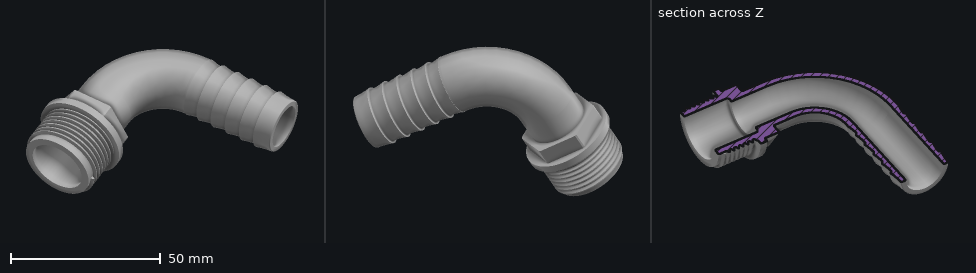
import cadquery as cq
import math


tube_radius = 10.0
bore_radius = 7.4
bend_radius = 22.3

spigot_radius = 12.2
spigot_length = 14.7
flange_radius = 15.25
flange_thickness = 2.6
hex_across_flats = 24.0
hex_height = 5.8
hex_corner_radius = 13.7
inlet_bore_radius = 9.55
inlet_floor_fillet = 0.9

thread_crest_radius = 13.25
thread_pitch = 1.82
thread_turns = 7
thread_start = 1.85
thread_base_width = 1.4
thread_crest_width = 0.35
thread_embed = 0.15

tail_start_x = 23.15
outer_length = 71.25
overall_height = 63.85
barb_radius = 10.1
trough_radius = 9.3
trough_fillet = 0.5
barb_sag = 0.15
barb_pitch = 5.5
first_barb_length = 4.85
barb_count = 5
tip_fillet = 0.35

flange_top = spigot_length + flange_thickness
hex_top = flange_top + hex_height
tail_axis_y = overall_height - barb_radius
bend_start_y = tail_axis_y - bend_radius
tail_end_x = outer_length - flange_radius


def inlet_plane(y):
    """Plane across the inlet axis whose normal points along +Y."""
    return cq.Plane(origin=(0, y, 0), xDir=(1, 0, 0), normal=(0, 1, 0))


def inlet_cylinder(radius, start_y, length):
    return cq.Workplane(inlet_plane(start_y)).circle(radius).extrude(length)


def elbow(radius, start_y, end_x):
    """Round bar running up the inlet axis, through the bend and along the tail."""
    bend_middle = (
        bend_radius * (1 - math.cos(math.pi / 4)),
        bend_start_y + bend_radius * math.sin(math.pi / 4),
    )
    path = (
        cq.Workplane("XY")
        .moveTo(0, start_y)
        .lineTo(0, bend_start_y)
        .threePointArc(bend_middle, (bend_radius, tail_axis_y))
        .lineTo(end_x, tail_axis_y)
    )
    return cq.Workplane(inlet_plane(start_y)).circle(radius).sweep(path)


def hexagon():
    """Hexagon with flats facing +Z and -Z and its corners turned round."""
    across_corners = hex_across_flats / math.cos(math.pi / 6)
    prism = cq.Workplane(inlet_plane(flange_top)).polygon(6, across_corners).extrude(hex_height)
    return prism.intersect(inlet_cylinder(hex_corner_radius, flange_top, hex_height))


def thread():
    """Trapezoidal ridge wound from +X towards -Z while climbing along +Y."""
    root_radius = spigot_radius - thread_embed
    helix = cq.Wire.makeHelix(thread_pitch, thread_pitch * thread_turns, root_radius)
    half_base = thread_base_width / 2
    half_crest = thread_crest_width / 2
    ridge = (
        cq.Workplane("XZ")
        .moveTo(root_radius, -half_base)
        .lineTo(thread_crest_radius, -half_crest)
        .lineTo(thread_crest_radius, half_crest)
        .lineTo(root_radius, half_base)
        .close()
        .sweep(cq.Workplane(obj=helix), isFrenet=True)
    )
    return ridge.rotate((0, 0, 0), (1, 0, 0), -90).translate((0, thread_start, 0))


def hose_tail():
    """Revolved tail: concave tapers, each followed by a filleted step up to the next barb."""
    profile = cq.Workplane("XY").moveTo(tail_start_x, 0).lineTo(tail_start_x, barb_radius)
    middle_radius = (barb_radius + trough_radius) / 2 - barb_sag
    fillet_offset = trough_fillet * math.sin(math.pi / 4)
    x = tail_start_x
    for barb in range(barb_count):
        next_x = tail_start_x + first_barb_length + barb * barb_pitch
        trough_x = next_x - trough_fillet
        fillet_middle = (trough_x + fillet_offset, trough_radius + trough_fillet - fillet_offset)
        profile = (
            profile.threePointArc(((x + trough_x) / 2, middle_radius), (trough_x, trough_radius))
            .threePointArc(fillet_middle, (next_x, trough_radius + trough_fillet))
            .lineTo(next_x, barb_radius)
        )
        x = next_x
    tip_x = tail_end_x - tip_fillet
    tip_offset = tip_fillet * math.sin(math.pi / 4)
    profile = (
        profile.threePointArc(((x + tip_x) / 2, middle_radius), (tip_x, trough_radius))
        .threePointArc(
            (tip_x + tip_offset, trough_radius - tip_fillet + tip_offset),
            (tail_end_x, trough_radius - tip_fillet),
        )
        .lineTo(tail_end_x, 0)
        .close()
    )
    return profile.revolve(360, (0, 0, 0), (1, 0, 0)).translate((0, tail_axis_y, 0))


def inlet_bore():
    """Counterbore ending level with the top of the flange, filleted around its floor."""
    return inlet_cylinder(inlet_bore_radius, 0, flange_top).faces(">Y").edges().fillet(inlet_floor_fillet)


result = (
    inlet_cylinder(spigot_radius, 0, spigot_length)
    .union(thread())
    .union(inlet_cylinder(flange_radius, spigot_length, flange_thickness))
    .union(hexagon())
    .union(elbow(tube_radius, hex_top, tail_start_x))
    .union(hose_tail())
    .cut(inlet_bore())
    .cut(elbow(bore_radius, flange_top, tail_end_x))
)